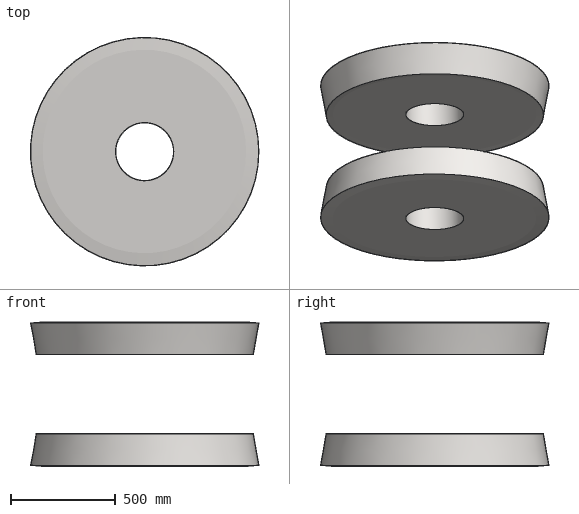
import cadquery as cq
import math

outer_diameter = 1089.1
total_height = 688.45
bore_diameter = 275.2

flat_diameter = 969.5
rim_height = 150.7
rim_taper = 10.0
cone_slope = 5.0

outer_radius = outer_diameter / 2
flat_radius = flat_diameter / 2
bore_radius = bore_diameter / 2
narrow_radius = outer_radius - rim_height * math.tan(math.radians(rim_taper))

crown_height = (outer_radius - flat_radius) * math.tan(math.radians(cone_slope))
dish_depth = (narrow_radius - flat_radius) * math.tan(math.radians(cone_slope))
crown_top = rim_height + crown_height


def make_disc():
    """Bored disc with its dished narrow edge at Z = 0 and its crowned wide side on top."""
    half_section = (
        cq.Workplane("XZ")
        .moveTo(bore_radius, dish_depth)
        .lineTo(flat_radius, dish_depth)
        .lineTo(narrow_radius, 0)
        .lineTo(outer_radius, rim_height)
        .lineTo(flat_radius, crown_top)
        .lineTo(bore_radius, crown_top)
        .close()
    )
    return half_section.revolve(360, (0, 0, 0), (0, 1, 0))


upper_disc = make_disc().translate((0, 0, total_height / 2 - crown_top))
lower_disc = upper_disc.mirror("XY")

result = cq.Compound.makeCompound([upper_disc.val(), lower_disc.val()])